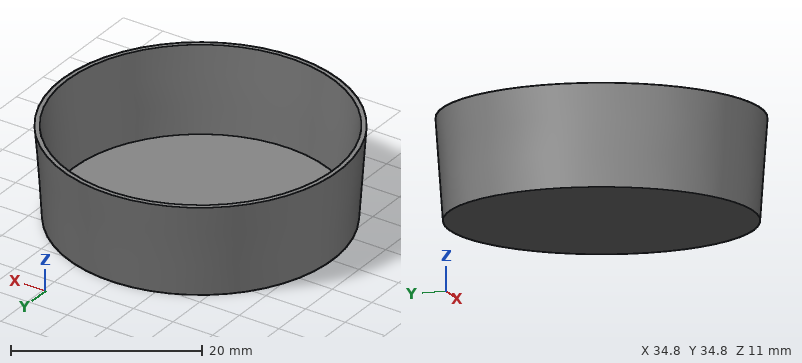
import cadquery as cq

rim_diameter = 34.8
base_diameter = 33.25
height = 11.0
rim_width = 0.55
floor_diameter = 32.15
floor_thickness = 0.63

rim_radius = rim_diameter / 2
base_radius = base_diameter / 2
inner_rim_radius = rim_radius - rim_width
floor_radius = floor_diameter / 2

half_section = (
    cq.Workplane("XZ")
    .moveTo(0, 0)
    .lineTo(base_radius, 0)
    .lineTo(rim_radius, height)
    .lineTo(inner_rim_radius, height)
    .lineTo(floor_radius, floor_thickness)
    .lineTo(0, floor_thickness)
    .close()
)
result = half_section.revolve(360, (0, 0, 0), (0, 1, 0))